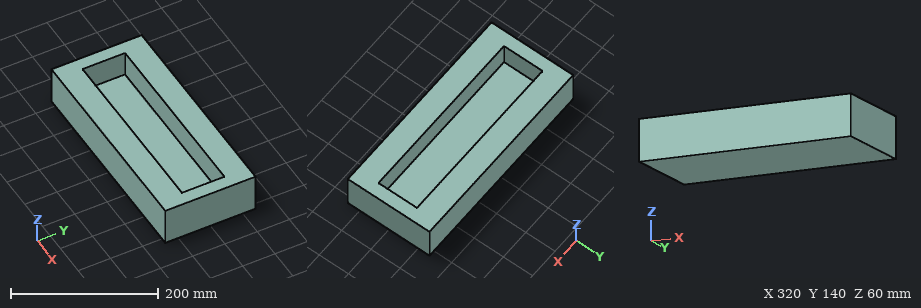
import cadquery as cq

length = 320.0
width = 140.0
height = 60.0

pocket_length = 279.5
pocket_width = 66.0
pocket_depth = 40.0

block = cq.Workplane("XY").box(length, width, height)

result = (
    block.faces(">Z")
    .workplane()
    .rect(pocket_length, pocket_width)
    .cutBlind(-pocket_depth)
)